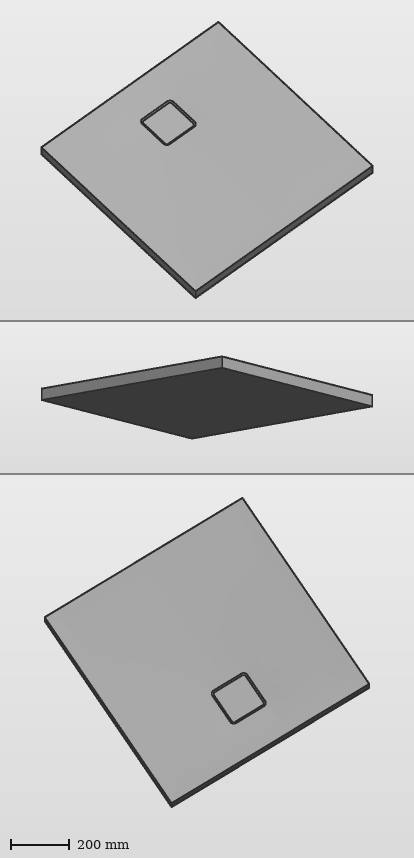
import cadquery as cq
import math

side = 800.0
height = 40.0
half = side / 2

rim_width = 41.0
rim_drop = 2.0
basin_half = half - rim_width
basin_corner_radius = 8.0
rim_z = height - rim_drop

drain_x = -200.0
cover_half = 64.0
cover_corner_radius = 8.0
lip_width = 6.0
lip_drop = 4.0
recess_half = cover_half + lip_width
basin_drop = 11.0
pad_z = rim_z - basin_drop

pad_margin = 2.0
pad_half = recess_half + pad_margin
pad_corner_radius = cover_corner_radius + lip_width + pad_margin
pad_left = drain_x - recess_half
pad_right = drain_x + pad_half
pad_shoulder_x = drain_x - cover_half + cover_corner_radius

cover_thickness = 8.0
cover_top = pad_z - lip_drop

fill_degree = 2
fill_max_degree = 4

diagonal = math.sqrt(0.5)


def line(start, end):
    return cq.Edge.makeLine(cq.Vector(*start), cq.Vector(*end))


def corner_arc(corner_x, corner_y, z, radius, sign_x, sign_y):
    """Quarter arc rounding a corner, from its Y-facing side to its X-facing side."""
    centre_x = corner_x - sign_x * radius
    centre_y = corner_y - sign_y * radius
    middle = (centre_x + sign_x * radius * diagonal, centre_y + sign_y * radius * diagonal, z)
    return cq.Edge.makeThreePointArc(
        cq.Vector(centre_x, corner_y, z), cq.Vector(*middle), cq.Vector(corner_x, centre_y, z)
    )


def basin_outline(sign_x, sign_y):
    """Basin edge in one quadrant, from the drain centre line round the corner to the X side."""
    side_x = sign_x * basin_half
    side_y = sign_y * basin_half
    straight_x = side_x - sign_x * basin_corner_radius
    straight_y = side_y - sign_y * basin_corner_radius
    return [
        line((drain_x, side_y, rim_z), (straight_x, side_y, rim_z)),
        corner_arc(side_x, side_y, rim_z, basin_corner_radius, sign_x, sign_y),
    ], (side_x, straight_y, rim_z)


def rim_face(sign_x, sign_y):
    edges, arc_end = basin_outline(sign_x, sign_y)
    outer_x = sign_x * half
    outer_y = sign_y * half
    side_x = sign_x * basin_half
    points = [arc_end]
    if sign_x < 0:
        points.append((side_x, sign_y * recess_half, rim_z))
    points += [
        (side_x, 0, rim_z),
        (outer_x, 0, height),
        (outer_x, outer_y, height),
        (drain_x, outer_y, height),
        (drain_x, sign_y * basin_half, rim_z),
    ]
    edges += [line(a, b) for a, b in zip(points, points[1:])]
    return cq.Face.makeNSidedSurface(edges, [], degree=fill_degree, maxDeg=fill_max_degree)


def right_basin_face(sign_y):
    edges, arc_end = basin_outline(1, sign_y)
    pad_y = sign_y * pad_half
    edges += [
        line(arc_end, (basin_half, 0, rim_z)),
        line((basin_half, 0, rim_z), (pad_right, 0, pad_z)),
        line((pad_right, 0, pad_z), (pad_right, pad_y - sign_y * pad_corner_radius, pad_z)),
        corner_arc(pad_right, pad_y, pad_z, pad_corner_radius, 1, sign_y),
        line((pad_right - pad_corner_radius, pad_y, pad_z), (drain_x, pad_y, pad_z)),
        line((drain_x, pad_y, pad_z), (drain_x, sign_y * basin_half, rim_z)),
    ]
    return cq.Face.makeNSidedSurface(edges, [], degree=fill_degree, maxDeg=fill_max_degree)


def left_basin_face(sign_y):
    edges, arc_end = basin_outline(-1, sign_y)
    points = [
        arc_end,
        (-basin_half, sign_y * recess_half, rim_z),
        (pad_left, sign_y * recess_half, pad_z),
        (pad_shoulder_x, sign_y * pad_half, pad_z),
        (drain_x, sign_y * pad_half, pad_z),
        (drain_x, sign_y * basin_half, rim_z),
    ]
    edges += [line(a, b) for a, b in zip(points, points[1:])]
    return cq.Face.makeNSidedSurface(edges, [], degree=fill_degree, maxDeg=fill_max_degree)


def polygon(points):
    return cq.Face.makeFromWires(cq.Wire.makePolygon([cq.Vector(*p) for p in points], close=True))


def strip_face():
    """Flat ramp between the -X side of the basin and the drain pad."""
    return polygon([
        (-basin_half, -recess_half, rim_z),
        (pad_left, -recess_half, pad_z),
        (pad_left, recess_half, pad_z),
        (-basin_half, recess_half, rim_z),
    ])


def pad_face():
    return cq.Face.makeFromWires(
        cq.Workplane("XY", origin=(0, 0, pad_z))
        .moveTo(pad_left, -recess_half)
        .lineTo(pad_shoulder_x, -pad_half)
        .lineTo(drain_x, -pad_half)
        .lineTo(pad_right - pad_corner_radius, -pad_half)
        .radiusArc((pad_right, pad_corner_radius - pad_half), -pad_corner_radius)
        .lineTo(pad_right, 0)
        .lineTo(pad_right, pad_half - pad_corner_radius)
        .radiusArc((pad_right - pad_corner_radius, pad_half), -pad_corner_radius)
        .lineTo(drain_x, pad_half)
        .lineTo(pad_shoulder_x, pad_half)
        .lineTo(pad_left, recess_half)
        .close()
        .val()
    )


def outer_faces():
    """Underside and the four outer walls."""
    corners = [(-half, -half), (half, -half), (half, half), (-half, half)]
    faces = [polygon([(x, y, 0) for x, y in corners])]
    for (x0, y0), (x1, y1) in zip(corners, corners[1:] + corners[:1]):
        top_middle = (drain_x, y0, height) if y0 == y1 else (x0, 0, height)
        faces.append(polygon([(x0, y0, 0), (x1, y1, 0), (x1, y1, height), top_middle, (x0, y0, height)]))
    return faces


def make_tray():
    faces = [strip_face(), pad_face(), *outer_faces()]
    for sign_y in (-1, 1):
        faces += [right_basin_face(sign_y), left_basin_face(sign_y)]
        faces += [rim_face(-1, sign_y), rim_face(1, sign_y)]
    return cq.Workplane(cq.Solid.makeSolid(cq.Shell.makeShell(faces)))


def rounded_square(half_width, corner_radius):
    width = 2 * half_width
    return cq.Sketch().rect(width, width).vertices().fillet(corner_radius)


def make_cover():
    return (
        cq.Workplane("XY", origin=(drain_x, 0, cover_top))
        .placeSketch(rounded_square(cover_half, cover_corner_radius))
        .extrude(-cover_thickness)
    )


def make_recess():
    """Space of the cover and of the sloping lip that flares out above it to the pad."""
    seat = make_cover()
    flare = (
        cq.Workplane("XY", origin=(drain_x, 0, cover_top))
        .placeSketch(
            rounded_square(cover_half, cover_corner_radius),
            rounded_square(recess_half, cover_corner_radius + lip_width).moved(cq.Location((0, 0, lip_drop))),
        )
        .loft(ruled=True)
    )
    return seat.union(flare)


tray = make_tray().cut(make_recess())
cover = make_cover()
result = cq.Compound.makeCompound([*tray.solids().vals(), cover.val()])